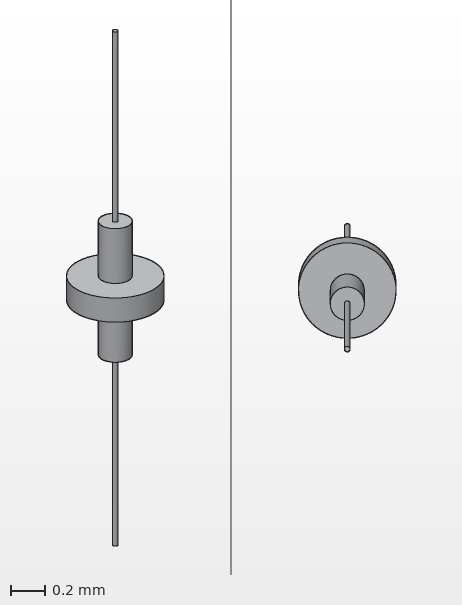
import cadquery as cq

wire_length = 3.38
wire_diameter = 0.035
sleeve_length = 0.88
sleeve_diameter = 0.2
flange_thickness = 0.16
flange_diameter = 0.57


def centred_cylinder(diameter, length):
    """Solid cylinder along Z, centred on the origin."""
    return cq.Workplane("XY").cylinder(length, diameter / 2)


wire = centred_cylinder(wire_diameter, wire_length)
sleeve = centred_cylinder(sleeve_diameter, sleeve_length)
flange = centred_cylinder(flange_diameter, flange_thickness)

result = flange.union(sleeve).union(wire)